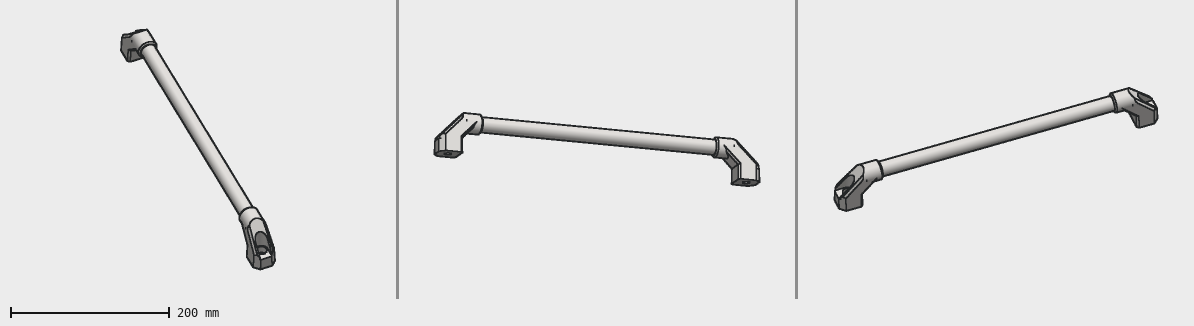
import cadquery as cq

length = 431.0
height = 55.0
foot_width = 30.0

sleeve_diameter = 26.0
sleeve_radius = sleeve_diameter / 2
sleeve_end = 58.5
sleeve_chamfer = 2.0
bar_diameter = 20.0
axis_z = height - sleeve_radius

foot_length = 30.0
bend_z = 19.5
slope_top_x = height - bend_z
outer_corner_chamfer = 7.0
inner_edge_chamfer = 2.5
outer_edge_chamfer = 3.0

hole_x = 15.0
hole_diameter = 9.0
counterbore_diameter = 13.5
counterbore_floor_z = 6.5
recess_width = 16.5
recess_floor_z = 17.2

outer_x = -length / 2


def leg_block():
    """Side outline of the leg, extruded to the foot width."""
    outline = [
        (0, 0),
        (foot_length, 0),
        (foot_length, bend_z),
        (foot_length + axis_z - bend_z, axis_z),
        (slope_top_x, height),
        (0, bend_z),
    ]
    return cq.Workplane("XZ").polyline(outline).close().extrude(foot_width / 2, both=True)


def side_taper():
    """Block whose sides lean in from the foot width to the sleeve width at the axis."""
    lean = (foot_width - sleeve_diameter) / 2 * height / axis_z
    return (
        cq.Workplane("YZ")
        .polyline([
            (-foot_width / 2, 0),
            (foot_width / 2, 0),
            (foot_width / 2 - lean, height),
            (lean - foot_width / 2, height),
        ])
        .close()
        .extrude(length / 2)
    )


def arch():
    """Block with straight sides and a round top that follows the sleeve."""
    return (
        cq.Workplane("YZ")
        .moveTo(-foot_width / 2, 0)
        .lineTo(foot_width / 2, 0)
        .lineTo(sleeve_radius, axis_z)
        .threePointArc((0, height), (-sleeve_radius, axis_z))
        .close()
        .extrude(length / 2)
    )


def chamfer_long_edges(body, x, z, size):
    """Chamfer the -Y and +Y edges of the leg whose middles lie near (x, z)."""
    reach = 4.5
    half = foot_width / 2 + reach
    box = cq.selectors.BoxSelector((x - reach, -half, z - reach), (x + reach, half, z + reach))
    return body.edges(box).edges("not |Y").chamfer(size)


def leg():
    body = leg_block().intersect(side_taper())
    inner_slope_x = foot_length + (axis_z - bend_z) / 2
    for x, z, size in [
        (foot_length, bend_z / 2, inner_edge_chamfer),
        (inner_slope_x, (axis_z + bend_z) / 2, inner_edge_chamfer),
        (slope_top_x / 2, (height + bend_z) / 2, outer_edge_chamfer),
        (0, bend_z / 2, outer_corner_chamfer),
    ]:
        body = chamfer_long_edges(body, x, z, size)
    return body.intersect(arch())


def sleeve():
    """Round sleeve, chamfered on the end that meets the bar."""
    body = (
        cq.Workplane("YZ", origin=(slope_top_x, 0, axis_z))
        .circle(sleeve_radius)
        .extrude(sleeve_end - slope_top_x)
    )
    return body.faces(">X").chamfer(sleeve_chamfer)


def bore(diameter, floor_z):
    """Upright cylinder on the screw axis, from floor_z to above the leg."""
    return cq.Workplane("XY", origin=(hole_x, 0, floor_z)).circle(diameter / 2).extrude(height)


def screw_recess():
    """Recess, counterbore and screw hole as one cutter."""
    slot = (
        cq.Workplane("XY", origin=(0, 0, recess_floor_z))
        .rect(2 * hole_x, recess_width)
        .extrude(height)
    )
    return (
        bore(hole_diameter, 0)
        .union(bore(counterbore_diameter, counterbore_floor_z))
        .union(bore(recess_width, recess_floor_z))
        .union(slot)
    )


def bracket(side):
    """Bracket for the -X end (side = -1) or, mirrored, for the +X end (side = 1) of the bar."""
    body = leg().union(sleeve()).cut(screw_recess()).translate((outer_x, 0, 0))
    if side > 0:
        return body.mirror("YZ")
    return body


def grip_bar():
    """Solid round bar between the two sleeve ends."""
    start = outer_x + sleeve_end
    return cq.Workplane("YZ", origin=(start, 0, axis_z)).circle(bar_diameter / 2).extrude(-2 * start)


bar = grip_bar()
brackets = [bracket(side).solids().val() for side in (-1, 1)]
result = cq.Compound.makeCompound([bar.val(), *brackets])